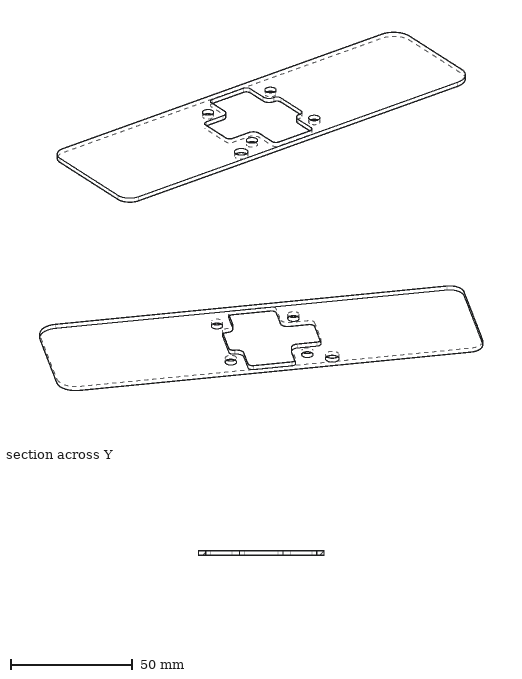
import cadquery as cq

width = 51.8
length = 178.0
thickness = 2.0
back_corner_radius = 8.0
front_corner_radius = 6.0

mount_y = -0.5
arm_width = 45.5
arm_height = 20.0
stem_width = 17.8
stem_top_y = 14.8
stem_bottom_y = -23.8
window_corner_radius = 2.0
window_inner_radius = 3.0
selection_margin = 0.2

screw_hole_diameter = 4.6
screw_pitch_x = 30.0
screw_pitch_y = 32.0

side_hole_diameter = 5.5
side_hole_x = 20.3
side_hole_y = -26.0


def make_plate():
    plate = cq.Workplane("XY").box(width, length, thickness, centered=(True, True, False))
    plate = plate.edges("|Z and >Y").fillet(back_corner_radius)
    return plate.edges("|Z and <Y").fillet(front_corner_radius)


def rounded_block(block_width, block_height, center_y):
    block = cq.Workplane("XY").center(0, center_y)
    block = block.rect(block_width, block_height).extrude(thickness)
    return block.edges("|Z").fillet(window_corner_radius)


def make_window():
    stem_height = stem_top_y - stem_bottom_y
    stem_center_y = (stem_top_y + stem_bottom_y) / 2
    arms = rounded_block(arm_width, arm_height, mount_y)
    stem = rounded_block(stem_width, stem_height, stem_center_y)
    inner_corners = cq.selectors.BoxSelector(
        (-stem_width / 2 - selection_margin, mount_y - arm_height / 2 - selection_margin, -thickness),
        (stem_width / 2 + selection_margin, mount_y + arm_height / 2 + selection_margin, 2 * thickness),
    )
    return arms.union(stem).edges("|Z").edges(inner_corners).fillet(window_inner_radius)


def make_holes():
    screws = (
        cq.Workplane("XY")
        .center(0, mount_y)
        .rect(screw_pitch_x, screw_pitch_y, forConstruction=True)
        .vertices()
        .circle(screw_hole_diameter / 2)
        .extrude(thickness)
    )
    side_hole = cq.Workplane("XY").center(side_hole_x, side_hole_y)
    return screws.union(side_hole.circle(side_hole_diameter / 2).extrude(thickness))


result = make_plate().cut(make_window()).cut(make_holes())